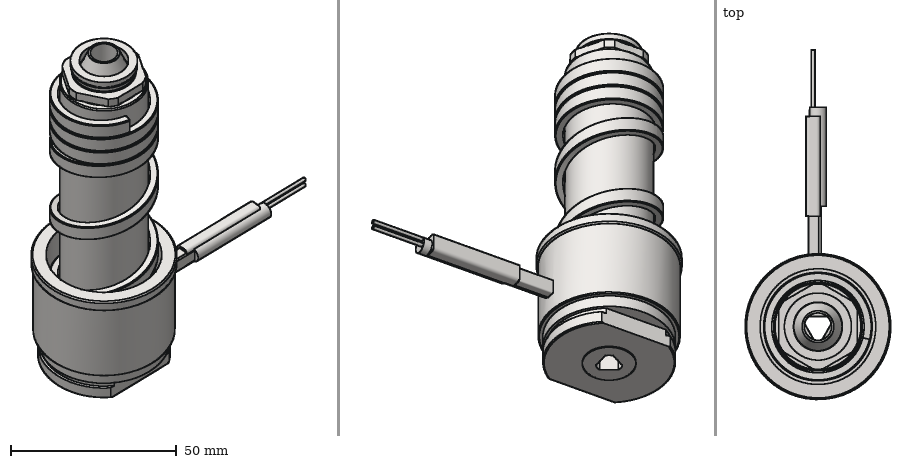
import cadquery as cq
import math

boss_radius = 8.1
base_bottom_z = 0.4
base_radius = 20.0
base_chamfer = 0.4
neck_radius = 19.1
neck_bottom_z = 4.5
neck_top_z = 6.4
flat_offset = 16.0
housing_bottom_z = 10.4
housing_radius = 21.5
housing_chamfer = 0.4
rim_bottom_z = 36.9
rim_top_z = 40.6
rim_radius = 22.02
rim_chamfer = 0.5
cavity_radius = 17.5
cavity_floor_z = 11.9

tube_radius = 13.4
tube_top_z = 110.1
tube_chamfer = 0.42
hex_neck_radius = 11.4
hex_bottom_z = 110.9
hex_top_z = 113.9
hex_sides = 6
hex_across_flats = 23.7
hex_corner_radius = 12.9
groove_radius = 9.6
groove_bottom_z = 114.3
groove_top_z = 115.6
collar_bottom_z = 116.2
collar_top_z = 118.3
collar_radius = 10.13
undercut_radius = 9.76
recess_radius = 7.4
recess_floor_z = 115.2
tip_top_radius = 4.79
tip_base_radius = 7.3
top_z = 121.3

bore_radius = 4.1
bore_mouth_z = 114.0
bore_flat_offset = 3.0
bore_flat_count = 3

coil_inner_radius = 14.0
coil_outer_radius = 16.4
coil_height = 5.03
coil_edge_chamfer = 0.3
coil_top_z = 106.9
coil_start_angle = -14
close_pitch = 5.29
open_pitch = 27.0
close_sweep = 1094
change_sweep = 120
open_sweep = 640
coil_step_angle = 15

sleeve_x = -1.5
sleeve_z = 19.5
sleeve_width = 4.4
sleeve_height = 6.3
sleeve_fillet = 1.15
sleeve_start_y = 33.4
sleeve_end_y = 63.5
cord_x = -1.3
cord_z = 19.3
cord_width = 3.0
cord_height = 5.1
cord_fillet = 0.42
cord_start_y = 20.0
side_cord_x = 0.5
side_cord_width = 1.1
side_cord_height = 4.1
round_sleeve_radius = 2.5
round_sleeve_start_y = 36.3
round_sleeve_end_y = 66.2
wire_radius = 0.63
wire_z = 19.4
wire_spacing = 2.2
wire_end_y = 83.52


def cylinder(radius, bottom_z, height_z):
    """Upright cylinder between two heights."""
    return cq.Workplane("XY").workplane(offset=bottom_z).circle(radius).extrude(height_z - bottom_z)


def make_base():
    """Base disc and neck with two wrench flats, standing on a low boss."""
    disc = cylinder(base_radius, base_bottom_z, neck_bottom_z).faces("<Z").chamfer(base_chamfer)
    base = disc.union(cylinder(neck_radius, neck_bottom_z, neck_top_z))
    wrench_block = cq.Workplane("XY").box(
        2 * flat_offset, 2 * base_radius, neck_top_z, centered=(True, True, False)
    )
    return base.intersect(wrench_block).union(cylinder(boss_radius, 0, base_bottom_z))


def make_housing():
    """Cup with a thicker rim, open at the top."""
    shoulder = cylinder(base_radius, neck_top_z, housing_bottom_z)
    wall = cylinder(housing_radius, housing_bottom_z, rim_bottom_z).faces("<Z").chamfer(housing_chamfer)
    rim = cylinder(rim_radius, rim_bottom_z, rim_top_z).edges().chamfer(rim_chamfer)
    cavity = cylinder(cavity_radius, cavity_floor_z, rim_top_z)
    return shoulder.union(wall).union(rim).cut(cavity)


def make_tube():
    """Central tube with the hexagon on its neck."""
    tube = cylinder(tube_radius, neck_top_z, tube_top_z).faces(">Z").chamfer(tube_chamfer)
    hex_neck = cylinder(hex_neck_radius, tube_top_z, hex_bottom_z)
    hexagon = (
        cq.Workplane("XY")
        .workplane(offset=hex_bottom_z)
        .polygon(hex_sides, hex_across_flats / math.cos(math.pi / hex_sides))
        .extrude(hex_top_z - hex_bottom_z)
        .rotate((0, 0, 0), (0, 0, 1), 180 / hex_sides)
    )
    hexagon = hexagon.intersect(cylinder(hex_corner_radius, hex_bottom_z, hex_top_z))
    return tube.union(hex_neck).union(hexagon)


def make_nozzle():
    """Grooved collar around a conical tip, turned in one profile."""
    return (
        cq.Workplane("XZ")
        .moveTo(0, hex_top_z)
        .lineTo(undercut_radius, hex_top_z)
        .lineTo(undercut_radius, groove_bottom_z)
        .lineTo(groove_radius, groove_bottom_z)
        .lineTo(groove_radius, groove_top_z)
        .lineTo(undercut_radius, groove_top_z)
        .lineTo(undercut_radius, collar_bottom_z)
        .lineTo(collar_radius, collar_bottom_z)
        .lineTo(collar_radius, collar_top_z)
        .lineTo(recess_radius, collar_top_z)
        .lineTo(recess_radius, recess_floor_z)
        .lineTo(tip_base_radius, recess_floor_z)
        .lineTo(tip_top_radius, top_z)
        .lineTo(0, top_z)
        .close()
        .revolve(360, (0, 0, 0), (0, 1, 0))
    )


def make_bore():
    """Round bore, trimmed below its mouth by three flats, one of them on the +Y side."""
    flats = (
        cq.Workplane("XY")
        .polygon(bore_flat_count, 2 * bore_flat_offset / math.cos(math.pi / bore_flat_count))
        .extrude(bore_mouth_z)
        .rotate((0, 0, 0), (0, 0, 1), -90)
    )
    lobes = cylinder(bore_radius, 0, bore_mouth_z).intersect(flats)
    return lobes.union(cylinder(bore_radius, bore_mouth_z, top_z))


def coil_edge(radius, start_z, start_angle, sweep, start_pitch, end_pitch):
    """Helical edge wound downwards and clockwise, its pitch changing evenly; angles are in degrees."""
    steps = math.ceil(sweep / coil_step_angle)
    turns = sweep / 360
    points = []
    for step in range(steps + 1):
        fraction = step / steps
        mean_pitch = start_pitch + (end_pitch - start_pitch) * fraction / 2
        angle = math.radians(start_angle - sweep * fraction)
        z = start_z - mean_pitch * turns * fraction
        points.append(cq.Vector(radius * math.cos(angle), radius * math.sin(angle), z))

    def slope(angle_degrees, pitch):
        angle = math.radians(angle_degrees)
        return cq.Vector(radius * math.sin(angle), -radius * math.cos(angle), -pitch / (2 * math.pi))

    return cq.Edge.makeSpline(
        points,
        tangents=[slope(start_angle, start_pitch), slope(start_angle - sweep, end_pitch)],
        parameters=[math.radians(sweep) * step / steps for step in range(steps + 1)],
        scale=False,
    )


def coil_end(corners, angle_degrees, z):
    """Flat end face of the strip, in the radial plane at an angle."""
    angle = math.radians(angle_degrees)
    points = [
        cq.Vector(radius * math.cos(angle), radius * math.sin(angle), z + height)
        for radius, height in corners
    ]
    return cq.Face.makeFromWires(cq.Wire.makePolygon(points, close=True))


def make_coil():
    """Strip with chamfered outer edges, wound from the top end down into the cavity floor."""
    half_height = coil_height / 2
    chamfer_radius = coil_outer_radius - coil_edge_chamfer
    chamfer_height = half_height - coil_edge_chamfer
    corners = [
        (coil_inner_radius, -half_height),
        (chamfer_radius, -half_height),
        (coil_outer_radius, -chamfer_height),
        (coil_outer_radius, chamfer_height),
        (chamfer_radius, half_height),
        (coil_inner_radius, half_height),
    ]
    sections = (
        (close_sweep, close_pitch, close_pitch),
        (change_sweep, close_pitch, open_pitch),
        (open_sweep, open_pitch, open_pitch),
        (change_sweep, open_pitch, close_pitch),
        (close_sweep, close_pitch, close_pitch),
    )
    angle = coil_start_angle
    z = coil_top_z - half_height
    faces = [coil_end(corners, angle, z)]
    for sweep, start_pitch, end_pitch in sections:
        edges = [
            coil_edge(radius, z + height, angle, sweep, start_pitch, end_pitch)
            for radius, height in corners
        ]
        for edge, next_edge in zip(edges, edges[1:] + edges[:1]):
            faces.append(cq.Face.makeRuledSurface(edge, next_edge))
        angle -= sweep
        z -= (start_pitch + end_pitch) / 2 * sweep / 360
    faces.append(coil_end(corners, angle, z))
    return cq.Workplane(cq.Solid.makeSolid(cq.Shell.makeShell(faces)))


def bar_along_y(x, z, width, height, start_y, end_y):
    """Rectangular bar along Y, centred on a place in X and Z."""
    return cq.Workplane("XZ", origin=(x, start_y, z)).rect(width, height).extrude(start_y - end_y)


def rod_along_y(x, z, radius, start_y, end_y):
    """Round rod along Y."""
    return cq.Workplane("XZ", origin=(x, start_y, z)).circle(radius).extrude(start_y - end_y)


def make_cable():
    """Two flat cords, a flat sleeve beside a round sleeve, and two wires."""
    sleeve = bar_along_y(sleeve_x, sleeve_z, sleeve_width, sleeve_height, sleeve_start_y, sleeve_end_y)
    sleeve = sleeve.edges("|Y").fillet(sleeve_fillet)
    cord = bar_along_y(cord_x, cord_z, cord_width, cord_height, cord_start_y, round_sleeve_start_y)
    cord = cord.edges("|Y").fillet(cord_fillet)
    side_cord = bar_along_y(
        side_cord_x, cord_z, side_cord_width, side_cord_height, cord_start_y, round_sleeve_start_y
    )
    round_sleeve = rod_along_y(0, cord_z, round_sleeve_radius, round_sleeve_start_y, round_sleeve_end_y)
    cable = sleeve.union(cord).union(side_cord).union(round_sleeve)
    for side in (-1, 1):
        z = wire_z + side * wire_spacing / 2
        cable = cable.union(rod_along_y(sleeve_x, z, wire_radius, sleeve_end_y, wire_end_y))
    return cable


result = (
    make_base()
    .union(make_housing())
    .union(make_tube())
    .union(make_nozzle())
    .union(make_cable())
    .cut(make_bore())
    .union(make_coil())
)